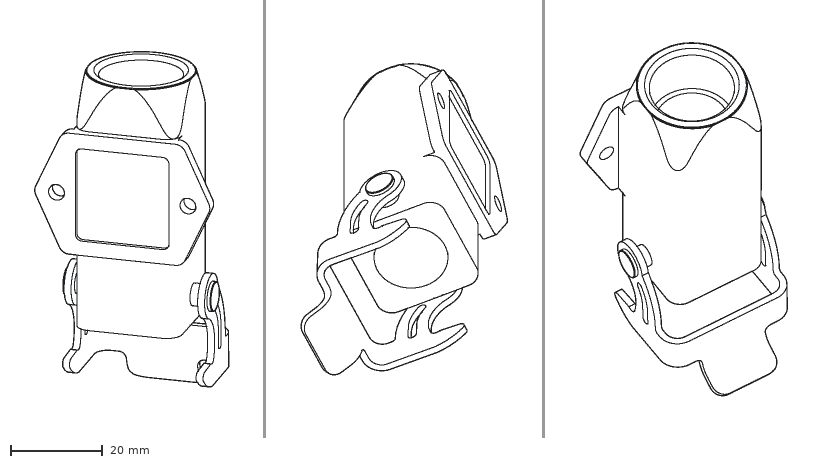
import cadquery as cq
import math


body_width = 23.85
body_height = 57.2
corner_radius = 3.5
neck_radius = 12.1
neck_height = 11.1
rim_radius = 11.9
rim_height = 0.2
shoulder_radius = (body_width / 2 - corner_radius) * math.sqrt(2) + corner_radius

bore_diameter = 16.1
entry_diameter = 18.6
entry_depth = 12.6
entry_chamfer = 1.0

flange_front = -14.0
flange_thickness = 2.95
flange_height = 28.1
flange_bottom = 18.0
flange_middle = flange_bottom + flange_height / 2
flange_width = 39.95
flange_edge_angle = math.radians(25)
flange_corner_radius = 2.5
screw_hole_diameter = 3.6
screw_hole_spacing = 30.0
recess_size = 21.4
recess_depth = 1.0
recess_radius = 1.5

pin_height = 6.45
pin_diameter = 5.0
head_diameter = 6.6
head_thickness = 0.9
head_chamfer = 0.15
pin_embed = 1.6

sheet = 1.6
lever_half_width = 16.0
lever_back = 16.4
lever_bend_radius = 4.6
band_top = -13.2
band_bottom = -21.1
eye_radius = 5.0
lever_tilt = 1.3
bend_start = lever_back - lever_bend_radius
band_front = bend_start - sheet

arm_back_top = (4.3, 1.2)
arm_back_middle = (8.5, -4.7)
arm_root = (10.05, band_top)
arm_fillet = 0.8
hook_heel = (0.3, band_bottom)
hook_underside = (-3.5, -19.8)
hook_tip_bottom = (-6.1, -17.9)
hook_tip = (-6.5, -16.75)
hook_tip_top = (-5.35, -15.8)
throat_front = (-0.7, -15.55)
throat_middle = (0.55, -15.8)
throat_back = (1.35, -15.15)
arm_front_low = (2.0, -13.2)
arm_front_waist = (2.15, -11.2)
arm_front_high = (0.95, -7.1)
arm_front_top = (-2.0, -4.55)

slot_width = 2.0
slot_half_width = slot_width / 2
slot_y = 6.0
slot_bottom = -13.4
slot_bend = -9.8
slot_bend_radius = 8.3
slot_sweep = 41

tab_half_width = 8.1
tab_root_radius = 1.6
tab_end_radius = 2.95
tab_drop = 0.4
tab_bend_radius = 4.55
tab_turn = 58
tab_straight = 5.3
tab_bend_center = (lever_back + tab_bend_radius, band_bottom - tab_drop)
tab_end_angle = 180 + tab_turn
tab_heading = tab_end_angle + 90


def polar(center, radius, degrees):
    """Point at an angle on a circle."""
    angle = math.radians(degrees)
    return (center[0] + radius * math.cos(angle), center[1] + radius * math.sin(angle))


def make_body():
    """Rounded square block whose top is narrowed by a cone under a thin round rim."""
    block = (
        cq.Workplane("XY")
        .rect(body_width, body_width)
        .extrude(body_height)
        .edges("|Z")
        .fillet(corner_radius)
    )
    neck_base = body_height - neck_height
    cone = (
        cq.Workplane("XZ")
        .polyline([
            (0, 0),
            (shoulder_radius, 0),
            (shoulder_radius, neck_base),
            (neck_radius, body_height - rim_height),
            (rim_radius, body_height - rim_height),
            (rim_radius, body_height),
            (0, body_height),
        ])
        .close()
        .revolve(360, (0, 0, 0), (0, 1, 0))
    )
    return block.intersect(cone)


def make_flange():
    """Hexagonal plate with a square-cornered pad that joins it to the housing."""
    tip_allowance = flange_corner_radius * (1 / math.cos(flange_edge_angle) - 1)
    tip_x = flange_width / 2 + tip_allowance
    shoulder_x = tip_x - flange_height / 2 * math.tan(flange_edge_angle)
    half_height = flange_height / 2
    plane = cq.Workplane("XZ", origin=(0, flange_front, flange_middle))
    plate = (
        plane.polyline([
            (-tip_x, 0),
            (-shoulder_x, half_height),
            (shoulder_x, half_height),
            (tip_x, 0),
            (shoulder_x, -half_height),
            (-shoulder_x, -half_height),
        ])
        .close()
        .extrude(-flange_thickness)
        .edges("|Y")
        .fillet(flange_corner_radius)
    )
    pad_depth = corner_radius - body_width / 2 - flange_front
    pad = plane.rect(body_width, flange_height).extrude(-pad_depth)
    holes = (
        plane.pushPoints([(-screw_hole_spacing / 2, 0), (screw_hole_spacing / 2, 0)])
        .circle(screw_hole_diameter / 2)
        .extrude(-flange_thickness)
    )
    recess = (
        plane.rect(recess_size, recess_size)
        .extrude(-recess_depth)
        .edges("|Y")
        .fillet(recess_radius)
    )
    return plate.union(pad).cut(holes).cut(recess)


def make_bore():
    """Through bore with a wider, chamfered entry at the top."""
    bore_radius = bore_diameter / 2
    entry_radius = entry_diameter / 2
    ledge_height = body_height - entry_depth
    return (
        cq.Workplane("XZ")
        .polyline([
            (0, 0),
            (bore_radius, 0),
            (bore_radius, ledge_height),
            (entry_radius, ledge_height),
            (entry_radius, body_height - entry_chamfer),
            (entry_radius + entry_chamfer, body_height),
            (0, body_height),
        ])
        .close()
        .revolve(360, (0, 0, 0), (0, 1, 0))
    )


def make_pin():
    """Headed pivot pin on the +X side."""
    start = body_width / 2 - pin_embed
    shank = (
        cq.Workplane("YZ", origin=(start, 0, pin_height))
        .circle(pin_diameter / 2)
        .extrude(lever_half_width - start)
    )
    head = (
        cq.Workplane("YZ", origin=(lever_half_width, 0, pin_height))
        .circle(head_diameter / 2)
        .extrude(head_thickness)
        .faces(">X")
        .chamfer(head_chamfer)
    )
    return shank.union(head)


def make_arm_slot(plane):
    """Slot that runs straight up and then curves toward the pin."""
    center = (slot_y - slot_bend_radius, slot_bend)
    inner = slot_bend_radius - slot_half_width
    outer = slot_bend_radius + slot_half_width
    upper_end = polar(center, slot_bend_radius, slot_sweep)
    return (
        plane.moveTo(slot_y + slot_half_width, slot_bottom)
        .lineTo(slot_y + slot_half_width, slot_bend)
        .threePointArc(polar(center, outer, slot_sweep / 2), polar(center, outer, slot_sweep))
        .threePointArc(
            polar(upper_end, slot_half_width, slot_sweep + 90),
            polar(center, inner, slot_sweep),
        )
        .threePointArc(polar(center, inner, slot_sweep / 2), (slot_y - slot_half_width, slot_bend))
        .lineTo(slot_y - slot_half_width, slot_bottom)
        .threePointArc((slot_y, slot_bottom - slot_half_width), (slot_y + slot_half_width, slot_bottom))
        .close()
        .extrude(sheet)
    )


def make_lever_arm():
    """Flat side of the lever on +X: pin eye, curved arm and catch hook."""
    plane = cq.Workplane("YZ", origin=(lever_half_width - sheet, 0, 0))
    eye = plane.circle(eye_radius).extrude(sheet)
    arm = (
        plane.moveTo(0, 0)
        .lineTo(*arm_back_top)
        .threePointArc(arm_back_middle, arm_root)
        .lineTo(bend_start, band_top)
        .lineTo(bend_start, band_bottom)
        .lineTo(*hook_heel)
        .threePointArc(hook_underside, hook_tip_bottom)
        .threePointArc(hook_tip, hook_tip_top)
        .lineTo(*throat_front)
        .threePointArc(throat_middle, throat_back)
        .threePointArc(arm_front_low, arm_front_waist)
        .threePointArc(arm_front_high, arm_front_top)
        .close()
        .extrude(sheet)
    )
    root_edge = cq.selectors.NearestToPointSelector((lever_half_width - sheet / 2, *arm_root))
    arm = arm.edges("|X").edges(root_edge).fillet(arm_fillet)
    return arm.union(eye).cut(make_arm_slot(plane))


def make_lever_band():
    """Bent sheet strip that joins the two arms behind the housing."""
    plane = cq.Workplane("XY", origin=(0, 0, band_bottom))
    band_height = band_top - band_bottom

    def bent_blank(inset):
        half_width = lever_half_width - inset
        depth = lever_back - inset - band_front
        return (
            plane.center(0, band_front + depth / 2)
            .rect(2 * half_width, depth)
            .extrude(band_height)
            .edges("|Z and >Y")
            .fillet(lever_bend_radius - inset)
        )

    return bent_blank(0).cut(bent_blank(sheet))


def make_curled_sheet(half_width):
    """Sheet that drops from the band, bends outward and ends straight."""
    center = tab_bend_center
    bend_level = center[1]
    middle_angle = 180 + tab_turn / 2
    outer_radius = tab_bend_radius + sheet
    inner_end = polar(center, tab_bend_radius, tab_end_angle)
    outer_end = polar(center, outer_radius, tab_end_angle)
    return (
        cq.Workplane("YZ", origin=(-half_width, 0, 0))
        .moveTo(lever_back, band_bottom)
        .lineTo(lever_back, bend_level)
        .threePointArc(polar(center, tab_bend_radius, middle_angle), inner_end)
        .lineTo(*polar(inner_end, tab_straight, tab_heading))
        .lineTo(*polar(outer_end, tab_straight, tab_heading))
        .lineTo(*outer_end)
        .threePointArc(polar(center, outer_radius, middle_angle), (lever_back - sheet, bend_level))
        .lineTo(lever_back - sheet, band_bottom)
        .close()
        .extrude(2 * half_width)
    )


def make_tab():
    """Finger tab with rounded end corners and a flared root."""
    tab = make_curled_sheet(tab_half_width)
    middle_radius = tab_bend_radius + sheet / 2
    end_middle = polar(polar(tab_bend_center, middle_radius, tab_end_angle), tab_straight, tab_heading)
    for side in (-1, 1):
        end_corner = cq.selectors.NearestToPointSelector((side * tab_half_width, *end_middle))
        tab = tab.edges(end_corner).fillet(tab_end_radius)

    root_half_width = tab_half_width + tab_root_radius
    root_outline = (
        cq.Workplane("XZ", origin=(0, lever_back + sheet, band_bottom))
        .moveTo(-root_half_width, 0)
        .lineTo(root_half_width, 0)
        .radiusArc((tab_half_width, -tab_root_radius), -tab_root_radius)
        .lineTo(-tab_half_width, -tab_root_radius)
        .radiusArc((-root_half_width, 0), -tab_root_radius)
        .close()
        .extrude(2 * sheet)
    )
    return tab.union(make_curled_sheet(root_half_width).intersect(root_outline))


def make_lever():
    """Complete lever, tilted about the pin axis and moved to the pin height."""
    arm = make_lever_arm()
    lever = make_lever_band().union(make_tab()).union(arm).union(arm.mirror("YZ"))
    lever = lever.rotate((0, 0, 0), (1, 0, 0), lever_tilt)
    return lever.translate((0, 0, pin_height))


pin = make_pin()
housing = make_body().union(make_flange()).cut(make_bore())
result = housing.union(pin).union(pin.mirror("YZ")).union(make_lever())